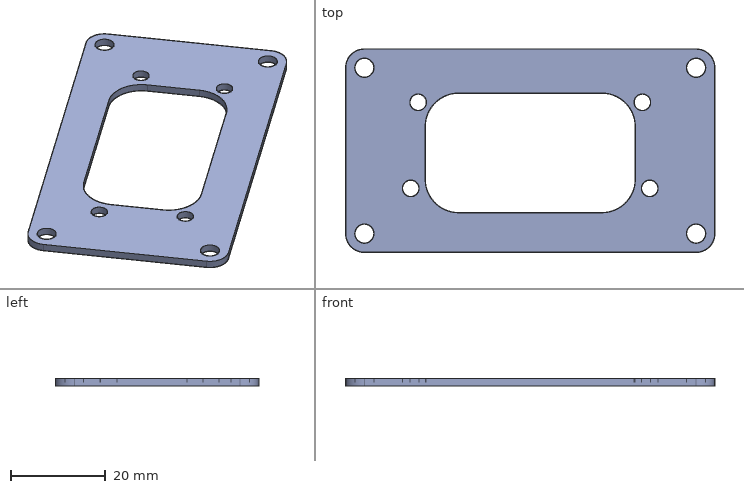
import cadquery as cq

plate_length = 78.0
plate_width = 43.0
plate_thickness = 1.6
corner_radius = 4.0

corner_hole_diameter = 4.0
corner_hole_spacing_x = plate_length - 2 * corner_radius
corner_hole_spacing_y = plate_width - 2 * corner_radius

window_length = 44.3
window_width = 25.2
window_radius = 7.0
window_center_y = -0.5

small_hole_diameter = 3.4
upper_pair_spacing = 47.35
upper_pair_y = 10.2
lower_pair_spacing = 50.5
lower_pair_y = -7.95


def drill(body, diameter, centers):
    """Cut through holes at the given centres."""
    return body.faces(">Z").workplane(origin=(0, 0, 0)).pushPoints(centers).hole(diameter)


plate = (
    cq.Workplane("XY")
    .box(plate_length, plate_width, plate_thickness)
    .edges("|Z")
    .fillet(corner_radius)
)

window = (
    cq.Workplane("XY")
    .box(window_length, window_width, plate_thickness)
    .edges("|Z")
    .fillet(window_radius)
    .translate((0, window_center_y, 0))
)

corner_centers = [
    (side_x * corner_hole_spacing_x / 2, side_y * corner_hole_spacing_y / 2)
    for side_x in (-1, 1)
    for side_y in (-1, 1)
]
small_centers = [
    (side * spacing / 2, y)
    for spacing, y in ((upper_pair_spacing, upper_pair_y), (lower_pair_spacing, lower_pair_y))
    for side in (-1, 1)
]

result = plate.cut(window)
result = drill(result, corner_hole_diameter, corner_centers)
result = drill(result, small_hole_diameter, small_centers)